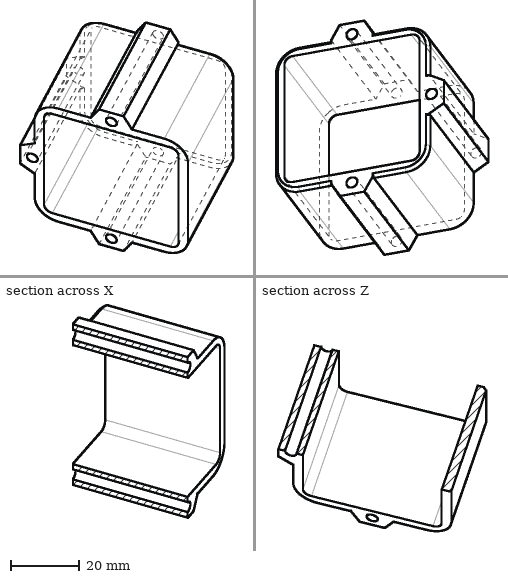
import cadquery as cq
import math

body_side = 48.4
depth = 37.8
wall = 3.0
outer_radius = 7.5
inner_radius = 2.6
back_chamfer = 1.05

lug_height = 4.6
lug_tip_width = 7.7
lug_flank_angle = 30.0
hole_diameter = 3.4
hole_offset = 24.95

half_side = body_side / 2
lug_angles = (0, 90, 180)


def square_prism(side, radius):
    """Square prism from Y = 0 to Y = depth with rounded long edges."""
    prism = cq.Workplane("XY").box(side, depth, side, centered=(True, False, True))
    return prism.edges("|Y").fillet(radius)


def make_lug():
    """Trapezoidal lug on the top wall, rooted halfway into the wall."""
    tip_half = lug_tip_width / 2
    base_half = tip_half + lug_height * math.tan(math.radians(lug_flank_angle))
    root = half_side - wall / 2
    tip = half_side + lug_height
    outline = [
        (-base_half, root),
        (-base_half, half_side),
        (-tip_half, tip),
        (tip_half, tip),
        (base_half, half_side),
        (base_half, root),
    ]
    return cq.Workplane("XZ").polyline(outline).close().extrude(-depth)


def make_screw_hole():
    """Cutter for the screw hole along the full length of the top lug."""
    return cq.Workplane("XZ").center(0, hole_offset).circle(hole_diameter / 2).extrude(-depth)


def turn(shape, angle):
    """Turn a shape about the tube axis, from the top towards the left for positive angles."""
    return shape.rotate((0, 0, 0), (0, 1, 0), -angle)


result = square_prism(body_side, outer_radius).faces(">Y").chamfer(back_chamfer)

for angle in lug_angles:
    result = result.union(turn(make_lug(), angle))

result = result.cut(square_prism(body_side - 2 * wall, inner_radius))

for angle in lug_angles:
    result = result.cut(turn(make_screw_hole(), angle))